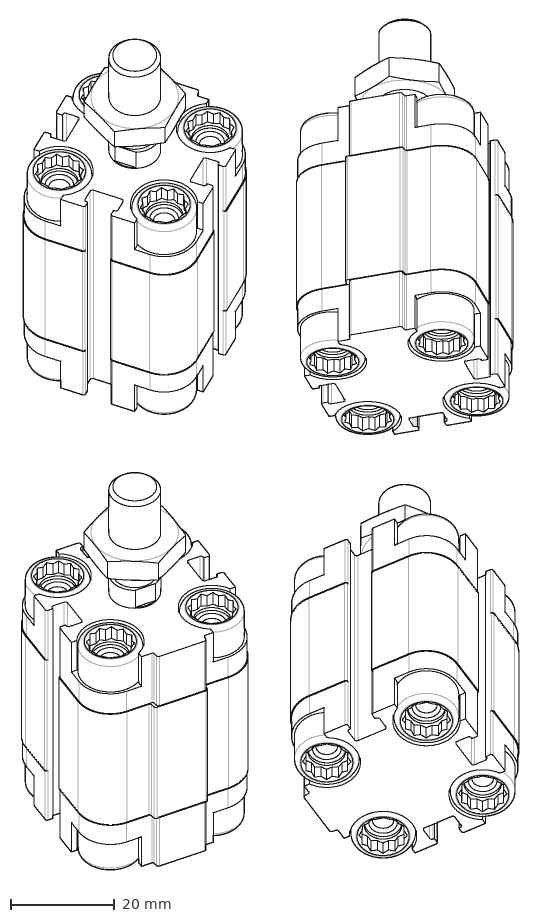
import cadquery as cq
import math

WIDTH = 36.0
BODY_HEIGHT = 53.0
END_HEIGHT = 12.5
END_INSET = 0.2
CORNER_RADIUS = 7.0
BOSS_OFFSET = WIDTH / 2 - CORNER_RADIUS

TAB_TOP_WIDTH = 11.45
TAB_BASE_WIDTH = 11.9
TAB_HEIGHT = 1.5
TAB_EDGE_RADIUS = 0.5
TAB_ROOT_RADIUS = 0.3
TAB_END_SETBACK = 0.5

SLOT_MOUTH_WIDTH = 5.4
SLOT_INNER_WIDTH = 6.9
SLOT_FLOOR = 13.0
SLOT_LIP = 16.4
SLOT_FILLET = 0.5
SLOT_EDGE_RADIUS = 0.4

BOSS_DIAMETER = 12.5
BOSS_HEIGHT = 7.5
BOSS_FILLET = 1.0
RELIEF_DIAMETER = 12.95
RELIEF_START = 7.8

COUNTERSINK_DIAMETER = 10.0
COUNTERSINK_SLOPE = math.radians(30)
SOCKET_FLATS = 8.0
SOCKET_DEPTH = 3.2
COUNTERBORE_DIAMETER = 7.2
COUNTERBORE_DEPTH = 3.9
THROUGH_DIAMETER = 4.1
LEAD_IN_DIAMETER = 5.5

ROD_DIAMETER = 10.0
TOTAL_HEIGHT = 79.5
ROD_DEPTH = END_HEIGHT
ROD_CHAMFER = 0.8
NECK_DIAMETER = 8.4
NECK_START = 4.5
THREAD_START = 6.4
ROD_FLATS = 9.0
FLATS_START = 0.2

NUT_FLATS = 17.0
NUT_START = 10.0
NUT_THICKNESS = 4.85
NUT_FACE_DIAMETER = 16.85
NUT_CORNER_DROP = 0.3


def hexagon_diameter(flats):
    """Corner-to-corner size of a hexagon with the given size across its flats."""
    return flats / math.cos(math.pi / 6)


def slot_cutter(face, height):
    """T-shaped cutter for a slot opening through an outer face at +Y, with rounded mouth edges."""
    inner = (
        cq.Workplane("XY")
        .box(SLOT_INNER_WIDTH, SLOT_LIP - SLOT_FLOOR, height, centered=(True, False, False))
        .edges("|Z")
        .fillet(SLOT_FILLET)
        .translate((0, SLOT_FLOOR, 0))
    )
    half_mouth = SLOT_MOUTH_WIDTH / 2
    half_flare = half_mouth + SLOT_EDGE_RADIUS
    inner_end = (SLOT_FLOOR + SLOT_LIP) / 2
    round_start = face - SLOT_EDGE_RADIUS
    mouth = (
        cq.Workplane("XY")
        .moveTo(-half_mouth, inner_end)
        .lineTo(-half_mouth, round_start)
        .radiusArc((-half_flare, face), -SLOT_EDGE_RADIUS)
        .lineTo(half_flare, face)
        .radiusArc((half_mouth, round_start), -SLOT_EDGE_RADIUS)
        .lineTo(half_mouth, inner_end)
        .close()
        .extrude(height)
    )
    return inner.union(mouth)


def tab(inset, setback, height):
    """Tapered tab on the +Y side, rooted inside the housing profile."""
    top = WIDTH / 2 + TAB_HEIGHT - inset
    base = WIDTH / 2 - inset
    top_left = inset - TAB_TOP_WIDTH / 2
    base_left = inset - TAB_BASE_WIDTH / 2
    top_right = -top_left - setback
    base_right = -base_left - setback
    outline = [
        (base_left, 0),
        (base_left, base),
        (top_left, top),
        (top_right, top),
        (base_right, base),
        (base_right, 0),
    ]
    blank = cq.Workplane("XY").polyline(outline).close().extrude(height)
    return blank.faces(">Y").edges("|Z").fillet(TAB_EDGE_RADIUS)


def profile(inset, setback, bottom, height):
    """Length of the housing profile with its outer faces moved in by the inset."""
    face = WIDTH / 2 - inset
    body = cq.Workplane("XY").rect(2 * face, 2 * face).extrude(height)
    body = body.edges("|Z").fillet(CORNER_RADIUS - inset)
    body = body.union(tab(inset, setback, height))
    root_zone = cq.selectors.BoxSelector(
        (-TAB_BASE_WIDTH, face - TAB_ROOT_RADIUS, 0),
        (TAB_BASE_WIDTH, face + TAB_ROOT_RADIUS, height),
    )
    body = body.edges("|Z").edges(root_zone).fillet(TAB_ROOT_RADIUS)
    cutter = slot_cutter(face, height)
    for angle in (90, 180, 270):
        body = body.cut(cutter.rotate((0, 0, 0), (0, 0, 1), angle))
    return body.translate((0, 0, bottom))


def corner_relief():
    """Material removed around the boss in the +X +Y corner of the top end."""
    side = WIDTH / 2 - RELIEF_START
    corner = (
        cq.Workplane("XY")
        .box(side, side, BOSS_HEIGHT, centered=False)
        .translate((RELIEF_START, RELIEF_START, BODY_HEIGHT - BOSS_HEIGHT))
    )
    ring = (
        cq.Workplane("XY", origin=(BOSS_OFFSET, BOSS_OFFSET, BODY_HEIGHT - BOSS_HEIGHT))
        .circle(RELIEF_DIAMETER / 2)
        .extrude(BOSS_HEIGHT)
    )
    return corner.union(ring)


def boss():
    """Round boss in the +X +Y corner of the top end."""
    return (
        cq.Workplane("XY", origin=(BOSS_OFFSET, BOSS_OFFSET, BODY_HEIGHT - BOSS_HEIGHT))
        .circle(BOSS_DIAMETER / 2)
        .extrude(BOSS_HEIGHT)
        .faces(">Z")
        .edges()
        .fillet(BOSS_FILLET)
    )


def socket():
    """Countersunk twelve-point socket with a stepped hole down to mid-height."""
    countersink_radius = COUNTERSINK_DIAMETER / 2
    counterbore_radius = COUNTERBORE_DIAMETER / 2
    lead_in_radius = LEAD_IN_DIAMETER / 2
    through_radius = THROUGH_DIAMETER / 2
    lead_in_depth = lead_in_radius - through_radius
    countersink_depth = (countersink_radius - counterbore_radius) * math.tan(COUNTERSINK_SLOPE)
    hole = (
        cq.Workplane("XZ")
        .moveTo(0, 0)
        .lineTo(countersink_radius, 0)
        .lineTo(counterbore_radius, -countersink_depth)
        .lineTo(counterbore_radius, -COUNTERBORE_DEPTH)
        .lineTo(lead_in_radius, -COUNTERBORE_DEPTH)
        .lineTo(through_radius, -COUNTERBORE_DEPTH - lead_in_depth)
        .lineTo(through_radius, -BODY_HEIGHT / 2)
        .lineTo(0, -BODY_HEIGHT / 2)
        .close()
        .revolve(360, (0, 0, 0), (0, 1, 0))
    )
    lobes = cq.Workplane("XY").polygon(6, hexagon_diameter(SOCKET_FLATS)).extrude(-SOCKET_DEPTH)
    turned = lobes.rotate((0, 0, 0), (0, 0, 1), 30)
    star = lobes.union(turned)
    return hole.union(star).translate((BOSS_OFFSET, BOSS_OFFSET, BODY_HEIGHT))


def at_every_corner(tool):
    """Copies of a top-end tool at the four corners of both ends."""
    mirrored = tool.mirror("XY", (0, 0, BODY_HEIGHT / 2))
    for end in (tool, mirrored):
        for index in range(4):
            yield end.rotate((0, 0, 0), (0, 0, 1), 90 * index)


def make_housing():
    middle_height = BODY_HEIGHT - 2 * END_HEIGHT
    housing = profile(END_INSET, TAB_END_SETBACK, 0, BODY_HEIGHT)
    housing = housing.union(profile(0, 0, END_HEIGHT, middle_height))
    for relief in at_every_corner(corner_relief()):
        housing = housing.cut(relief)
    for post in at_every_corner(boss()):
        housing = housing.union(post)
    for hole in at_every_corner(socket()):
        housing = housing.cut(hole)
    bore = cq.Workplane("XY", origin=(0, 0, BODY_HEIGHT)).circle(ROD_DIAMETER / 2).extrude(-ROD_DEPTH)
    return housing.cut(bore)


def make_rod():
    radius = ROD_DIAMETER / 2
    neck_radius = NECK_DIAMETER / 2
    tip = TOTAL_HEIGHT - BODY_HEIGHT
    rod = (
        cq.Workplane("XZ")
        .polyline(
            [
                (0, -ROD_DEPTH),
                (radius, -ROD_DEPTH),
                (radius, NECK_START),
                (neck_radius, NECK_START),
                (neck_radius, THREAD_START),
                (radius, THREAD_START + radius - neck_radius),
                (radius, tip - ROD_CHAMFER),
                (radius - ROD_CHAMFER, tip),
                (0, tip),
            ]
        )
        .close()
        .revolve(360, (0, 0, 0), (0, 1, 0))
    )
    flat_height = NECK_START - FLATS_START
    collar = cq.Workplane("XY").rect(ROD_DIAMETER, ROD_DIAMETER).rect(ROD_DIAMETER, ROD_FLATS)
    flats = collar.extrude(flat_height).translate((0, 0, FLATS_START))
    return rod.cut(flats).translate((0, 0, BODY_HEIGHT))


def make_nut():
    corner_radius = hexagon_diameter(NUT_FLATS) / 2
    face_radius = NUT_FACE_DIAMETER / 2
    hexagon = cq.Workplane("XY").polygon(6, 2 * corner_radius).extrude(NUT_THICKNESS)
    hexagon = hexagon.rotate((0, 0, 0), (0, 0, 1), 30)
    blank = (
        cq.Workplane("XZ")
        .polyline(
            [
                (ROD_DIAMETER / 2, 0),
                (face_radius, 0),
                (corner_radius, NUT_CORNER_DROP),
                (corner_radius, NUT_THICKNESS - NUT_CORNER_DROP),
                (face_radius, NUT_THICKNESS),
                (ROD_DIAMETER / 2, NUT_THICKNESS),
            ]
        )
        .close()
        .revolve(360, (0, 0, 0), (0, 1, 0))
    )
    return hexagon.intersect(blank).translate((0, 0, BODY_HEIGHT + NUT_START))


housing = make_housing()
rod = make_rod()
nut = make_nut()

result = cq.Compound.makeCompound([housing.val(), rod.val(), nut.val()])